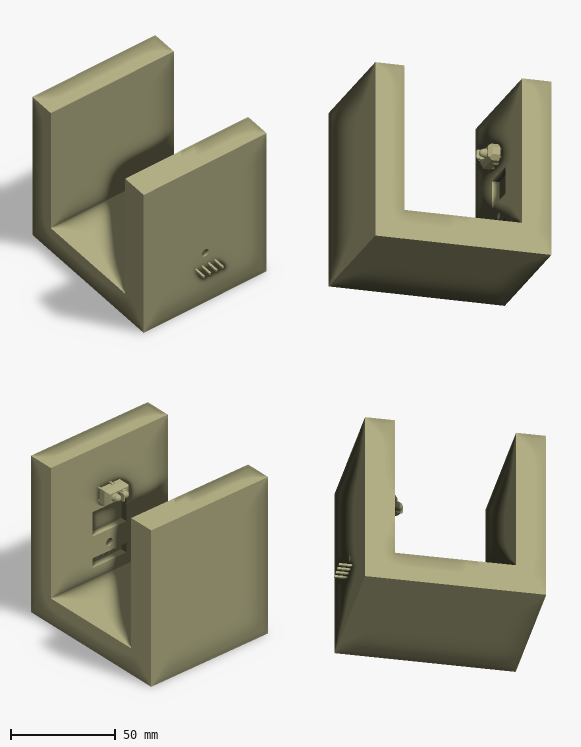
import cadquery as cq

housing_size = 88.5
wall = 14.7
depth = 73.75
wall_face = housing_size - wall
mid_y = depth / 2

window_width = 21.5
window_depth = 3.7
lower_window_bottom = 21.3
lower_window_height = 5.3
upper_window_bottom = 39.0
upper_window_height = 13.8
upper_window_top = upper_window_bottom + upper_window_height
screw_hole_diameter = 4.2
screw_hole_z = 31.6

board_thickness = 2.4
board_face = wall_face + window_depth
board_height = upper_window_top - lower_window_bottom

pin_count = 4
pin_pitch = 3.8
pin_width = 1.0
pin_tip = 95.0
pin_z = 23.9
pin_stub = 0.95
pin_start = board_face - pin_stub

sensor_z = 61.6
case_length = 15.0
case_height = 8.5
case_front = 66.4
case_back = 72.2
bevel_depth = 2.1
bevel_inset_y = 1.8
bevel_inset_z = 1.6
corner_cut_y = 2.4
corner_cut_z = 2.4
divider_tip = 62.6
divider_height = 4.6
divider_thickness = 0.4
divider_chamfer = 0.6

clip_front = 70.6
clip_width = 1.2
clip_rise = 0.2
notch_width = 2.1
post_diameter = 1.1
post_y = 6.8
post_z = 3.6
lead_width = 0.7
lead_y = 4.6
lead_z = 2.0
collar_width = 1.7
collar_length = 0.7

lens_radius = 2.2
lens_tilt = 15.0
lens_centre_x = 65.3
lens_offset_y = 2.5
lens_shank = 2.3
dome_base_radius = 1.9
dome_height = 2.2
dome_sphere_radius = (dome_base_radius**2 + dome_height**2) / (2 * dome_height)


def box_from(x_start, x_end, y_centre, z_centre, y_size, z_size):
    """Box between two X positions, centred on a point in Y and Z."""
    return (
        cq.Workplane("YZ", origin=(x_start, y_centre, z_centre))
        .rect(y_size, z_size)
        .extrude(x_end - x_start)
    )


def make_window(bottom, height):
    return box_from(wall_face, board_face, mid_y, bottom + height / 2, window_width, height)


def make_screw_hole():
    return (
        cq.Workplane("YZ", origin=(wall_face, mid_y, screw_hole_z))
        .circle(screw_hole_diameter / 2)
        .extrude(wall)
    )


def make_pin(y):
    return box_from(pin_start, pin_tip, y, pin_z, pin_width, pin_width)


def make_board_blank():
    return box_from(
        board_face,
        board_face + board_thickness,
        mid_y,
        lower_window_bottom + board_height / 2,
        window_width,
        board_height,
    )


def make_housing(pins):
    body = (
        cq.Workplane("XZ")
        .moveTo(0, 0)
        .lineTo(housing_size, 0)
        .lineTo(housing_size, housing_size)
        .lineTo(wall_face, housing_size)
        .lineTo(wall_face, wall)
        .lineTo(wall, wall)
        .lineTo(wall, housing_size)
        .lineTo(0, housing_size)
        .close()
        .extrude(-depth)
    )
    body = body.cut(make_window(lower_window_bottom, lower_window_height))
    body = body.cut(make_window(upper_window_bottom, upper_window_height))
    body = body.cut(make_board_blank()).cut(make_screw_hole())
    for pin in pins:
        body = body.cut(pin)
    return body


def make_board(pins):
    board = make_board_blank().cut(make_screw_hole())
    for pin in pins:
        board = board.cut(pin)
    return board


def make_lens(side):
    """Domed lens on one side of the divider, leaning in towards it."""
    profile = (
        cq.Workplane("XY")
        .moveTo(lens_shank, 0)
        .lineTo(lens_shank, lens_radius)
        .lineTo(0, lens_radius)
        .lineTo(0, dome_base_radius)
        .radiusArc((-dome_height, 0), -dome_sphere_radius)
        .close()
    )
    lens = profile.revolve(360, (0, 0, 0), (1, 0, 0))
    lens = lens.rotate((0, 0, 0), (0, 0, 1), side * lens_tilt)
    return lens.translate((lens_centre_x, mid_y + side * lens_offset_y, sensor_z))


def make_case_corner(side):
    """Wedge removed from the top (+1) or bottom (-1) corner of the -Y end of the case."""
    corner_y = mid_y - case_length / 2
    corner_z = sensor_z + side * case_height / 2
    return (
        cq.Workplane("YZ", origin=(case_front, corner_y, corner_z))
        .lineTo(corner_cut_y, 0)
        .lineTo(0, -side * corner_cut_z)
        .close()
        .extrude(case_back - case_front)
    )


def make_case_shell():
    """Case with a bevel around its front face and two cut corners at its -Y end."""
    block = box_from(
        case_front + bevel_depth, case_back, mid_y, sensor_z, case_length, case_height
    )
    bevelled_front = (
        cq.Workplane("YZ", origin=(case_front, mid_y, sensor_z))
        .rect(case_length - 2 * bevel_inset_y, case_height - 2 * bevel_inset_z)
        .workplane(offset=bevel_depth)
        .rect(case_length, case_height)
        .loft(ruled=True)
    )
    shell = block.union(bevelled_front)
    for side in (-1, 1):
        shell = shell.cut(make_case_corner(side))
    return shell


def make_divider():
    divider = box_from(
        divider_tip, case_front, mid_y, sensor_z, divider_thickness, divider_height
    )
    return divider.faces("<X").edges("|Y").chamfer(divider_chamfer)


def make_sensor_case(lenses):
    case = make_case_shell().union(make_divider())
    for side in (-1, 1):
        clip_z = sensor_z + side * (case_height / 2 + clip_rise - clip_width / 2)
        case = case.cut(box_from(clip_front, case_back, mid_y, clip_z, notch_width, clip_width))
        case = case.union(box_from(clip_front, wall_face, mid_y, clip_z, clip_width, clip_width))
        post = (
            cq.Workplane("YZ", origin=(case_back, mid_y + post_y, sensor_z + side * post_z))
            .circle(post_diameter / 2)
            .extrude(wall_face - case_back)
        )
        case = case.union(post)
        for end in (-1, 1):
            y = mid_y + end * lead_y
            z = sensor_z + side * lead_z
            case = case.union(
                box_from(case_back, case_back + collar_length, y, z, collar_width, collar_width)
            )
            case = case.union(box_from(case_back, wall_face, y, z, lead_width, lead_width))
    for lens in lenses:
        case = case.cut(lens)
    return case


pins = [make_pin(mid_y + (i - (pin_count - 1) / 2) * pin_pitch) for i in range(pin_count)]
lenses = [make_lens(side) for side in (-1, 1)]
housing = make_housing(pins)
board = make_board(pins)
sensor_case = make_sensor_case(lenses)

result = cq.Compound.makeCompound(
    [
        housing.val(),
        board.val(),
        sensor_case.val(),
        *[lens.val() for lens in lenses],
        *[pin.val() for pin in pins],
    ]
)